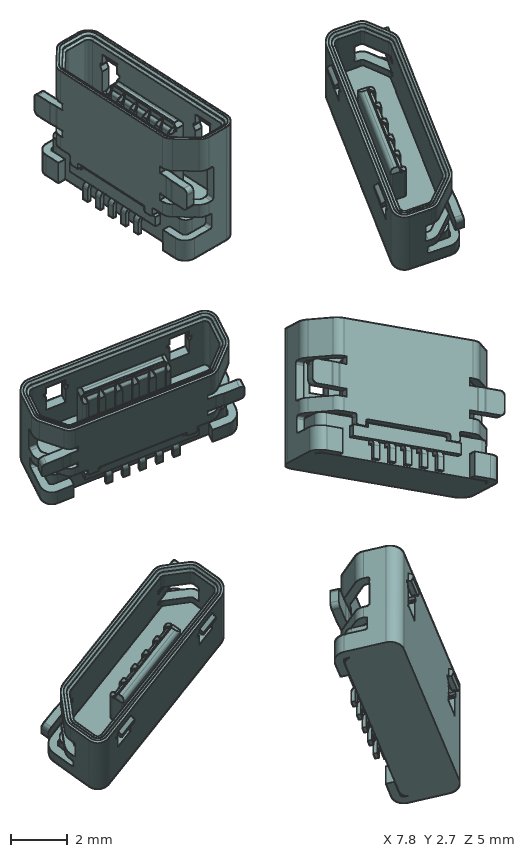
import cadquery as cq
import math


HEIGHT = 5.0
SHELL_HALF_WIDTH = 3.775
SHELL_FRONT = 0.02
SHELL_BACK = 2.52
WALL = 0.32
FLANK_CHAMFER = 0.95
CORNER_RADIUS = 0.51
CAVITY_HALF_WIDTH = SHELL_HALF_WIDTH - WALL
CAVITY_FRONT = SHELL_FRONT + WALL
CAVITY_BACK = SHELL_BACK - WALL
OVERCUT = 0.39

RIM_LAND = 0.1
RIM_BEVEL_WIDTH = (WALL - RIM_LAND) / 2
RIM_BEVEL_DEPTH = 0.07
RIM_STEP = 0.04

FOOT_TOP = 0.905
SLOT_TOP = 1.56
SLOT_REAR = 1.325
SLOT_CORNER_RADIUS = 0.1
FOOT_INNER_X = 2.67
FOOT_CORNER_RADIUS = 0.46

APRON_HALF_WIDTH = 2.1
APRON_BOTTOM = 1.155
NOTCH_HALF_WIDTH = 1.71
NOTCH_TOP = 1.41
APRON_RADIUS = 0.085

WINDOW_BOTTOM = 2.11
WINDOW_TOP = 3.595
WINDOW_INNER_X = 2.495
WINDOW_REAR = 1.405
TAB_BOTTOM = 2.4
TAB_TOP = 3.315
TAB_TIP_X = 3.9
TAB_BEND_START = 2.81
TAB_BEND_END = 3.105
TAB_RADIUS = 0.19
TAB_BEND_REACH = 0.02

LATCH_CENTER_X = 2.38
LATCH_HALF_WIDTH = 0.375
LATCH_TOP = 4.48
LATCH_BOTTOM = 2.81
LATCH_BULGE = 0.11
LATCH_BULGE_TOP = 4.06
LATCH_BULGE_PEAK_TOP = 4.02
LATCH_BULGE_PEAK_BOTTOM = 3.92
LATCH_BULGE_BOTTOM = 3.745
LEAF_CREST_Y = 2.7
LEAF_CREST_TOP = 4.35
LEAF_CREST_BOTTOM = 4.18
LEAF_CREST_BEVEL = 0.03
LEAF_END_Y = 2.63
LEAF_END_BOTTOM = 4.04
LEAF_END_WIDTH = 0.24
LEAF_END_RISE = 0.14
LEAF_HOLLOW = (2.33, 4.35)

FLOOR = 1.505
INSULATOR_HALF_WIDTH = 3.46
INSULATOR_FRONT = 0.335
INSULATOR_RADIUS = 0.305
BAR_FRONT = 0.09
BAR_BOTTOM = 0.74
BAR_HALF_WIDTH = 2.19
BAR_STEP_TOP = 1.295
BAR_STEP_HALF_WIDTH = 1.59

TONGUE_HALF_WIDTH = 1.7
TONGUE_FRONT = 1.34
TONGUE_BACK = 1.94
TONGUE_TOP = 4.165
TONGUE_END_BEVEL_WIDTH = 0.155
TONGUE_END_BEVEL_DEPTH = 0.155
TONGUE_BACK_RADIUS = 0.17
TONGUE_CORNER_RADIUS = 0.1
TONGUE_BACK_CORNER_RADIUS = 0.06
BLADE_FRONT = 1.58
BLADE_FRONT_CHAMFER = 0.05
CONTACT_FRONT = 1.435
CONTACT_TOP = 3.91
CONTACT_RADIUS = 0.11
RIB_COUNT = 6
RIB_WIDTH = 0.26
RIB_TIP_WIDTH = 0.09
RIB_CHAMFER = 0.04
RIB_BACK_TOP = 4.09
RIB_FRONT_TOP = 3.845

PITCH = 0.65
PIN_COUNT = 5
PIN_WIDTH = 0.25
PIN_THICKNESS = 0.15
PIN_BEND_RADIUS = 0.235


def box(x0, x1, y0, y1, z0, z1):
    """Box between opposite corners."""
    return cq.Workplane("XY").box(x1 - x0, y1 - y0, z1 - z0, centered=False).translate((x0, y0, z0))


def both_sides(solid):
    """A solid together with its mirror image across X = 0."""
    return solid.union(solid.mirror("YZ"))


def mouth_prism(inset, bottom, top):
    """Prism of the keyed mouth outline, moved inward by inset, with rounded corners."""
    half = SHELL_HALF_WIDTH - inset
    front = SHELL_FRONT + inset
    back = SHELL_BACK - inset
    cut = FLANK_CHAMFER - inset * (2 - math.sqrt(2))
    outline = [
        (half - cut, front), (half, front + cut), (half, back),
        (-half, back), (-half, front + cut), (cut - half, front),
    ]
    prism = cq.Workplane("XY").workplane(offset=bottom).polyline(outline).close().extrude(top - bottom)
    return prism.edges("|Z").fillet(CORNER_RADIUS - inset)


def rim_bevel(outer_inset, top):
    """Bevelled ring of the mouth: from outer_inset at the top to one bevel width further in."""
    inner_inset = outer_inset + RIM_BEVEL_WIDTH
    lower = mouth_prism(inner_inset, top - RIM_BEVEL_DEPTH, top).faces("<Z").wires().val()
    upper = mouth_prism(outer_inset, top - RIM_BEVEL_DEPTH, top).faces(">Z").wires().val()
    return cq.Workplane(cq.Solid.makeLoft([lower, upper], True))


def base_prism(half, front, back, front_radius, back_radius, top):
    """Rectangular prism standing on Z = 0 with separate front and back corner radii."""
    prism = box(-half, half, front, back, 0, top)
    prism = prism.edges("|Z and <Y").fillet(front_radius)
    return prism.edges("|Z and >Y").fillet(back_radius)


def upper_shell():
    """Keyed tube above the slot with the flared rim."""
    step_top = HEIGHT - RIM_BEVEL_DEPTH
    step_bottom = step_top - RIM_STEP
    step_inset = RIM_LAND + RIM_BEVEL_WIDTH
    tube = mouth_prism(0, SLOT_TOP, HEIGHT)
    tube = tube.cut(mouth_prism(WALL, SLOT_TOP, HEIGHT))
    tube = tube.cut(rim_bevel(RIM_LAND, HEIGHT))
    tube = tube.cut(mouth_prism(step_inset, step_bottom, step_top))
    return tube.cut(rim_bevel(step_inset, step_bottom))


def lower_shell():
    """Square-cornered skirt with the slot across the front, leaving two wrapped feet."""
    skirt = base_prism(SHELL_HALF_WIDTH, 0, SHELL_BACK, FOOT_CORNER_RADIUS, CORNER_RADIUS, SLOT_TOP)
    bore = base_prism(CAVITY_HALF_WIDTH, WALL, CAVITY_BACK, FOOT_CORNER_RADIUS - WALL,
                      CORNER_RADIUS - WALL, SLOT_TOP)
    reach = SHELL_HALF_WIDTH + OVERCUT
    slot = box(-reach, reach, -OVERCUT, SLOT_REAR, FOOT_TOP, SLOT_TOP)
    slot = slot.edges("|X and >Y").fillet(SLOT_CORNER_RADIUS)
    foot_gap = box(-FOOT_INNER_X, FOOT_INNER_X, -OVERCUT, CAVITY_FRONT, 0, FOOT_TOP)
    return skirt.cut(bore).cut(slot).cut(foot_gap)


def apron():
    """Tongue of the shell front that reaches below the slot, with its rounded notch."""
    plate = box(-APRON_HALF_WIDTH, APRON_HALF_WIDTH, SHELL_FRONT, CAVITY_FRONT, APRON_BOTTOM, SLOT_TOP)
    plate = plate.edges("|Y and <Z").fillet(APRON_RADIUS)
    notch = box(-NOTCH_HALF_WIDTH, NOTCH_HALF_WIDTH, SHELL_FRONT, CAVITY_FRONT, APRON_BOTTOM, NOTCH_TOP)
    notch = notch.edges("|Y and >Z").fillet(APRON_RADIUS)
    plate = plate.cut(notch)
    web = box(APRON_HALF_WIDTH, APRON_HALF_WIDTH + APRON_RADIUS, SHELL_FRONT, CAVITY_FRONT,
              SLOT_TOP - APRON_RADIUS, SLOT_TOP)
    hollow = (cq.Workplane("XZ", origin=(APRON_HALF_WIDTH + APRON_RADIUS, 0, SLOT_TOP - APRON_RADIUS))
              .circle(APRON_RADIUS).extrude(-CAVITY_FRONT))
    return plate.union(both_sides(web.cut(hollow)))


def window():
    """Cutter for the right-hand side window, wrapping from the front face to the side wall."""
    cutter = box(WINDOW_INNER_X, SHELL_HALF_WIDTH + OVERCUT, -OVERCUT, WINDOW_REAR, WINDOW_BOTTOM, WINDOW_TOP)
    return cutter.edges("|X and >Y").fillet(SLOT_CORNER_RADIUS)


def solder_tab():
    """Right-hand tab: jogs from the shell front onto the mounting plane."""
    bend = TAB_BEND_REACH
    drop = bend * SHELL_FRONT / (TAB_BEND_END - TAB_BEND_START)
    tab = (cq.Workplane("XY").workplane(offset=TAB_BOTTOM)
           .moveTo(WINDOW_INNER_X, SHELL_FRONT)
           .lineTo(TAB_BEND_START - bend, SHELL_FRONT)
           .tangentArcPoint((TAB_BEND_START + bend, SHELL_FRONT - drop), relative=False)
           .lineTo(TAB_BEND_END - bend, drop)
           .tangentArcPoint((TAB_BEND_END + bend, 0), relative=False)
           .lineTo(TAB_TIP_X, 0)
           .lineTo(TAB_TIP_X, WALL)
           .lineTo(TAB_BEND_END + bend, WALL)
           .tangentArcPoint((TAB_BEND_END - bend, WALL + drop), relative=False)
           .lineTo(TAB_BEND_START + bend, CAVITY_FRONT - drop)
           .tangentArcPoint((TAB_BEND_START - bend, CAVITY_FRONT), relative=False)
           .lineTo(WINDOW_INNER_X, CAVITY_FRONT)
           .close().extrude(TAB_TOP - TAB_BOTTOM))
    return tab.edges("|Y and >X").fillet(TAB_RADIUS)


def latch_opening():
    """Cutter for the right-hand latch opening, bulging sideways below the leaf end."""
    half = LATCH_HALF_WIDTH
    right_edge = [
        (half, LATCH_BOTTOM), (half, LATCH_BULGE_BOTTOM),
        (half + LATCH_BULGE, LATCH_BULGE_PEAK_BOTTOM), (half + LATCH_BULGE, LATCH_BULGE_PEAK_TOP),
        (half, LATCH_BULGE_TOP), (half, LATCH_TOP),
    ]
    left_edge = [(-x, z) for x, z in reversed(right_edge)]
    return (cq.Workplane("XZ", origin=(LATCH_CENTER_X, CAVITY_BACK, 0))
            .polyline(right_edge + left_edge).close().extrude(-WALL))


def latch_leaf():
    """Leaf hanging from the top of the right-hand latch opening and bowed out past the back wall."""
    return (cq.Workplane("YZ", origin=(LATCH_CENTER_X - LATCH_HALF_WIDTH, 0, 0))
            .moveTo(CAVITY_BACK, LATCH_TOP)
            .lineTo(SHELL_BACK, LATCH_TOP)
            .lineTo(LEAF_CREST_Y - LEAF_CREST_BEVEL, LEAF_CREST_TOP + LEAF_CREST_BEVEL)
            .lineTo(LEAF_CREST_Y, LEAF_CREST_TOP)
            .lineTo(LEAF_CREST_Y, LEAF_CREST_BOTTOM)
            .lineTo(LEAF_END_Y, LEAF_END_BOTTOM)
            .lineTo(LEAF_END_Y - LEAF_END_WIDTH, LEAF_END_BOTTOM + LEAF_END_RISE)
            .threePointArc(LEAF_HOLLOW, (CAVITY_BACK, LATCH_TOP))
            .close().extrude(2 * LATCH_HALF_WIDTH))


def insulator():
    """Plastic base filling the shell bottom, with the stepped bar on its front."""
    base = base_prism(INSULATOR_HALF_WIDTH, INSULATOR_FRONT, CAVITY_BACK, INSULATOR_RADIUS,
                      CORNER_RADIUS - WALL, FLOOR)
    bar = box(-BAR_HALF_WIDTH, BAR_HALF_WIDTH, BAR_FRONT, CAVITY_FRONT, BAR_BOTTOM, APRON_BOTTOM)
    step = box(-BAR_STEP_HALF_WIDTH, BAR_STEP_HALF_WIDTH, BAR_FRONT, CAVITY_FRONT, APRON_BOTTOM, BAR_STEP_TOP)
    return base.union(bar).union(step)


def tongue_rib(center_x):
    """Separator rib between contacts: tapers toward the blade and slopes down to the front."""
    half = RIB_WIDTH / 2
    half_tip = RIB_TIP_WIDTH / 2
    rib = (cq.Workplane("XY", origin=(center_x, 0, FLOOR))
           .polyline([(-half, TONGUE_FRONT), (half, TONGUE_FRONT), (half, CONTACT_FRONT),
                      (half_tip, BLADE_FRONT), (-half_tip, BLADE_FRONT), (-half, CONTACT_FRONT)])
           .close().extrude(RIB_BACK_TOP - FLOOR))
    slope = (cq.Workplane("YZ", origin=(center_x - half, 0, 0))
             .moveTo(TONGUE_FRONT, RIB_FRONT_TOP)
             .lineTo(BLADE_FRONT, RIB_BACK_TOP)
             .lineTo(TONGUE_FRONT, RIB_BACK_TOP)
             .close().extrude(RIB_WIDTH))
    return rib.cut(slope).faces(">Z").edges("not |X").chamfer(RIB_CHAMFER)


def tongue():
    """Contact-carrying tongue: blade, row of contacts and separator ribs within a bevelled envelope."""
    half = TONGUE_HALF_WIDTH
    blade = box(-half, half, BLADE_FRONT, TONGUE_BACK, FLOOR, TONGUE_TOP)
    blade = blade.edges("|X and >Y and >Z").fillet(TONGUE_BACK_RADIUS)
    blade = blade.edges("|X and <Y and >Z").chamfer(BLADE_FRONT_CHAMFER)
    contacts = box(-half, half, CONTACT_FRONT, BLADE_FRONT, FLOOR, CONTACT_TOP)
    contacts = contacts.edges("|X and <Y and >Z").fillet(CONTACT_RADIUS)
    body = blade.union(contacts)
    for index in range(RIB_COUNT):
        body = body.union(tongue_rib((index - (RIB_COUNT - 1) / 2) * PITCH))
    shoulder = TONGUE_TOP - TONGUE_END_BEVEL_DEPTH
    envelope = (cq.Workplane("XZ", origin=(0, TONGUE_FRONT, 0))
                .polyline([(-half, FLOOR), (half, FLOOR), (half, shoulder),
                           (half - TONGUE_END_BEVEL_WIDTH, TONGUE_TOP),
                           (TONGUE_END_BEVEL_WIDTH - half, TONGUE_TOP), (-half, shoulder)])
                .close().extrude(TONGUE_FRONT - TONGUE_BACK))
    envelope = envelope.edges("|Z and <Y").fillet(TONGUE_CORNER_RADIUS)
    envelope = envelope.edges("|Z and >Y").fillet(TONGUE_BACK_CORNER_RADIUS)
    return body.intersect(envelope)


def pin(center_x):
    """Solder pin: leg on the mounting plane, bent back into the insulator."""
    inner_radius = PIN_BEND_RADIUS - PIN_THICKNESS
    leg_top = BAR_BOTTOM - PIN_BEND_RADIUS
    return (cq.Workplane("YZ", origin=(center_x - PIN_WIDTH / 2, 0, 0))
            .lineTo(0, leg_top)
            .radiusArc((PIN_BEND_RADIUS, BAR_BOTTOM), PIN_BEND_RADIUS)
            .lineTo(CAVITY_FRONT, BAR_BOTTOM)
            .lineTo(CAVITY_FRONT, BAR_BOTTOM - PIN_THICKNESS)
            .lineTo(PIN_BEND_RADIUS, BAR_BOTTOM - PIN_THICKNESS)
            .radiusArc((PIN_THICKNESS, leg_top), -inner_radius)
            .lineTo(PIN_THICKNESS, 0)
            .close().extrude(PIN_WIDTH))


shell = upper_shell().union(lower_shell()).union(apron())
shell = shell.cut(both_sides(window())).union(both_sides(solder_tab()))
shell = shell.cut(both_sides(latch_opening())).union(both_sides(latch_leaf()))

result = shell.union(insulator()).union(tongue())
for pin_index in range(PIN_COUNT):
    result = result.union(pin((pin_index - (PIN_COUNT - 1) / 2) * PITCH))